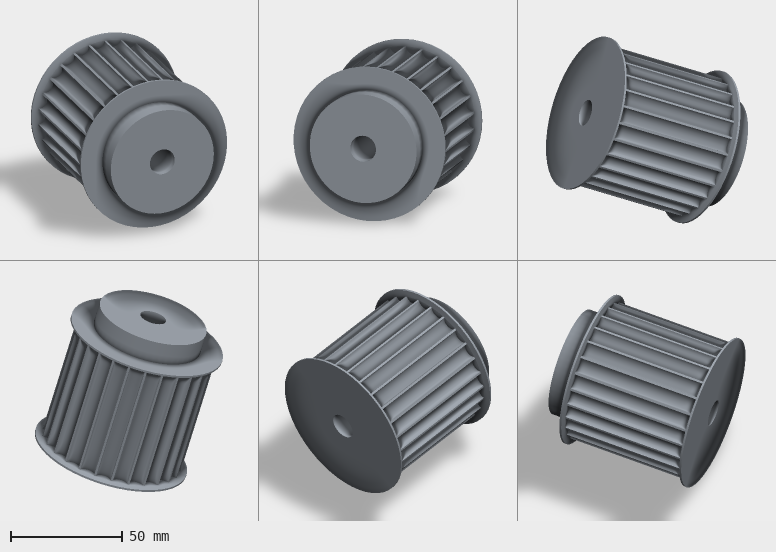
import cadquery as cq
import math

flange_radius = 35.5
toothed_length = 60.0
hub_radius = 25.0
hub_length = 10.0
bore_diameter = 12.0

flange_rim_width = 0.9
flange_thickness = 1.5

tooth_count = 26
tip_radius = 32.45
land_width = 1.0
groove_depth = 3.4
tooth_pitch_angle = 360.0 / tooth_count


def ring_point(radius, angle):
    """Point at an angle (degrees) around the X axis, in YZ coordinates."""
    return (radius * math.cos(math.radians(angle)), radius * math.sin(math.radians(angle)))


def toothed_barrel():
    """Barrel along X with round-bottomed grooves; one groove centre lies on the Y axis."""
    half_land_angle = math.degrees(land_width / 2 / tip_radius)
    half_groove_angle = tooth_pitch_angle / 2 - half_land_angle
    outline = cq.Workplane("YZ").moveTo(*ring_point(tip_radius, -half_groove_angle))
    for tooth in range(tooth_count):
        groove_angle = tooth * tooth_pitch_angle
        land_angle = groove_angle + tooth_pitch_angle / 2
        outline = outline.threePointArc(
            ring_point(tip_radius - groove_depth, groove_angle),
            ring_point(tip_radius, groove_angle + half_groove_angle),
        )
        outline = outline.threePointArc(
            ring_point(tip_radius, land_angle),
            ring_point(tip_radius, land_angle + half_land_angle),
        )
    return outline.close().extrude(toothed_length)


def flange(outer_face_x, inward):
    """Flange disc whose inner face slopes from the rim down to the tooth tips."""
    rim_x = outer_face_x + inward * flange_rim_width
    inner_x = outer_face_x + inward * flange_thickness
    profile = [
        (outer_face_x, 0),
        (outer_face_x, flange_radius),
        (rim_x, flange_radius),
        (inner_x, tip_radius),
        (inner_x, 0),
    ]
    return cq.Workplane("XY").polyline(profile).close().revolve(360, (0, 0, 0), (1, 0, 0))


def cylinder(radius, start_x, length):
    """Solid cylinder along X."""
    return cq.Workplane("YZ", origin=(start_x, 0, 0)).circle(radius).extrude(length)


hub = cylinder(hub_radius, toothed_length, hub_length)
bore = cylinder(bore_diameter / 2, 0, toothed_length + hub_length)

result = (
    toothed_barrel()
    .union(flange(0, 1))
    .union(flange(toothed_length, -1))
    .union(hub)
    .cut(bore)
)